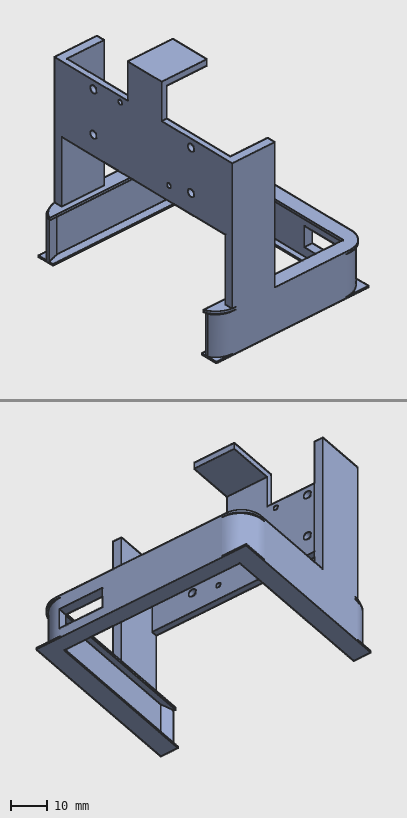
import cadquery as cq
import math

WIDTH = 73.0
DEPTH = 57.4
HEIGHT = 76.5
HALF_WIDTH = WIDTH / 2

FOOT_HEIGHT = 0.5
FOOT_WIDTH = 6.0
FRONT_OVERHANG = 0.3
BASE_HEIGHT = 15.45
RIM_HEIGHT = 0.85
RIM_WIDTH = 5.0
RIM_BACK_RADIUS = 6.95
RIM_FRONT_RADIUS = 8.2
WALL_THICKNESS = 3.05
WALL_BACK_RADIUS = 8.35
WALL_FRONT_RADIUS = 7.0
WALL_TIP_OUTER = 3.45
WALL_TIP_INNER = 4.4
WALL_TAPER_LENGTH = 4.1
RIM_BOTTOM = BASE_HEIGHT - RIM_HEIGHT

WINDOW_LEFT = 13.5
WINDOW_WIDTH = 15.0
WINDOW_BOTTOM = 3.5
WINDOW_HEIGHT = 7.0

POST_FRONT = 6.3
POST_WIDTH = 3.0
POST_DEPTH = 16.0
POST_TOP = 63.5
PLATE_THICKNESS = 2.0
PLATE_HEIGHT = 25.0
HOOK_CENTRE = 0.5
HOOK_WIDTH = 14.0
HOOK_DEPTH = 17.0
HOOK_THICKNESS = 2.2

SCREW_DIAMETER = 2.5
SCREW_CENTRE_X = -0.45
SCREW_SPACING_X = 40.0
SCREW_SPACING_Z = 15.0
SCREW_TOP_MARGIN = 3.0
PIN_DIAMETER = 1.5
PIN_PLACES = [(-9.5, 61.5), (10.5, 43.6)]


def box(x_start, y_start, z_start, x_size, y_size, z_size):
    """Box placed by its lowest corner."""
    solid = cq.Workplane("XY").box(x_size, y_size, z_size, centered=False)
    return solid.translate((x_start, y_start, z_start))


def bend_length(radius, inset):
    """Length along Y of an arc that leaves the side wall and moves inward by inset."""
    return math.sqrt(radius**2 - (radius - inset) ** 2)


def rounded_outline(front, tip_inset, back_radius, front_radius, bottom, height):
    """Block with rounded back corners and front corners that curve in to a tip."""
    tip_x = HALF_WIDTH - tip_inset
    bend_end = front + bend_length(front_radius, tip_inset)
    back_straight = HALF_WIDTH - back_radius
    return (
        cq.Workplane("XY", origin=(0, 0, bottom))
        .moveTo(-tip_x, front)
        .lineTo(tip_x, front)
        .radiusArc((HALF_WIDTH, bend_end), -front_radius)
        .lineTo(HALF_WIDTH, DEPTH - back_radius)
        .radiusArc((back_straight, DEPTH), -back_radius)
        .lineTo(-back_straight, DEPTH)
        .radiusArc((-HALF_WIDTH, DEPTH - back_radius), -back_radius)
        .lineTo(-HALF_WIDTH, bend_end)
        .radiusArc((-tip_x, front), -front_radius)
        .close()
        .extrude(height)
    )


def make_foot():
    foot = box(-HALF_WIDTH, FRONT_OVERHANG, 0, WIDTH, DEPTH - FRONT_OVERHANG, FOOT_HEIGHT)
    opening_width = WIDTH - 2 * FOOT_WIDTH
    opening = box(-opening_width / 2, 0, 0, opening_width, DEPTH - RIM_WIDTH, FOOT_HEIGHT)
    return foot.cut(opening)


def make_rim():
    rim = rounded_outline(0, RIM_WIDTH, RIM_BACK_RADIUS, RIM_FRONT_RADIUS, RIM_BOTTOM, RIM_HEIGHT)
    opening_width = WIDTH - 2 * RIM_WIDTH
    opening = box(-opening_width / 2, 0, RIM_BOTTOM, opening_width, DEPTH - RIM_WIDTH, RIM_HEIGHT)
    return rim.cut(opening)


def make_wall():
    height = RIM_BOTTOM - FOOT_HEIGHT
    wall = rounded_outline(
        FRONT_OVERHANG, WALL_TIP_OUTER, WALL_BACK_RADIUS, WALL_FRONT_RADIUS, FOOT_HEIGHT, height
    )
    inner_x = HALF_WIDTH - WALL_THICKNESS
    inner_y = DEPTH - WALL_THICKNESS
    tip_x = HALF_WIDTH - WALL_TIP_INNER
    taper_end = FRONT_OVERHANG + WALL_TAPER_LENGTH
    opening = (
        cq.Workplane("XY", origin=(0, 0, FOOT_HEIGHT))
        .moveTo(-tip_x, FRONT_OVERHANG)
        .lineTo(tip_x, FRONT_OVERHANG)
        .lineTo(inner_x, taper_end)
        .lineTo(inner_x, inner_y)
        .lineTo(-inner_x, inner_y)
        .lineTo(-inner_x, taper_end)
        .close()
        .extrude(height)
    )
    window = box(WINDOW_LEFT, DEPTH / 2, WINDOW_BOTTOM, WINDOW_WIDTH, DEPTH, WINDOW_HEIGHT)
    return wall.cut(opening).cut(window)


def make_post(left):
    return box(left, POST_FRONT, BASE_HEIGHT, POST_WIDTH, POST_DEPTH, POST_TOP - BASE_HEIGHT)


def make_plate():
    width = WIDTH - 2 * POST_WIDTH
    plate = box(-width / 2, POST_FRONT, POST_TOP - PLATE_HEIGHT, width, PLATE_THICKNESS, PLATE_HEIGHT)
    screw_top = POST_TOP - SCREW_TOP_MARGIN
    screw_places = [
        (SCREW_CENTRE_X + side * SCREW_SPACING_X / 2, z)
        for side in (-1, 1)
        for z in (screw_top, screw_top - SCREW_SPACING_Z)
    ]
    for places, diameter in ((screw_places, SCREW_DIAMETER), (PIN_PLACES, PIN_DIAMETER)):
        holes = (
            cq.Workplane("XZ", origin=(0, POST_FRONT, 0))
            .pushPoints(places)
            .circle(diameter / 2)
            .extrude(-PLATE_THICKNESS)
        )
        plate = plate.cut(holes)
    return plate


def make_hook():
    """Upright tab above the plate with a flat top reaching backward."""
    left = HOOK_CENTRE - HOOK_WIDTH / 2
    stem = box(left, POST_FRONT, POST_TOP, HOOK_WIDTH, PLATE_THICKNESS, HEIGHT - POST_TOP)
    top = box(left, POST_FRONT, HEIGHT - HOOK_THICKNESS, HOOK_WIDTH, HOOK_DEPTH, HOOK_THICKNESS)
    return stem.union(top)


result = make_foot().union(make_wall()).union(make_rim())
for post_left in (-HALF_WIDTH, HALF_WIDTH - POST_WIDTH):
    result = result.union(make_post(post_left))
result = result.union(make_plate()).union(make_hook())